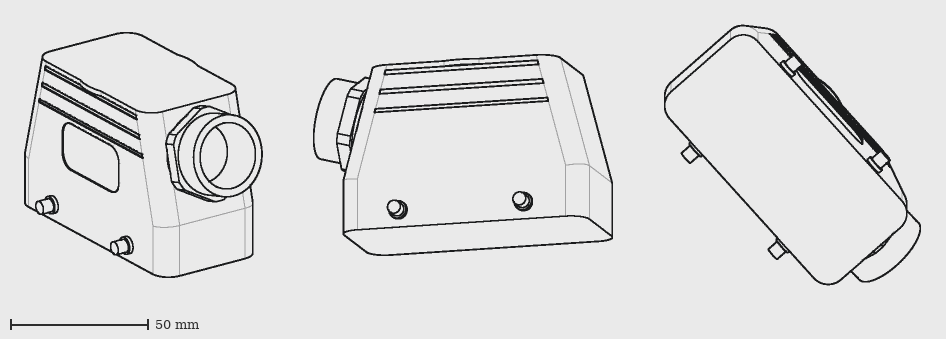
import cadquery as cq
import math

BODY_LENGTH = 93.1
BODY_WIDTH = 43.0
BODY_HEIGHT = 61.0
SKIRT_HEIGHT = 20.0
END_SLOPE = math.radians(15)
CORNER_RADIUS = 7.0

GROOVE_BANDS = [(43.5, 44.8), (50.3, 51.9), (57.4, 59.0)]
GROOVE_DEPTH = 0.5

SWELL_DIAMETER = 45.0
SWELL_HEIGHT = BODY_HEIGHT - GROOVE_BANDS[-1][1]

PANEL_LENGTH = 36.0
PANEL_HEIGHT = 18.2
PANEL_CENTER_Z = 32.6
PANEL_RADIUS = 5.3
PANEL_DEPTH = 0.5

PIN_SPACING = 47.6
PIN_Z = 6.3
PIN_DIAMETER = 4.9
PIN_SPAN = 55.0
PIN_COLLAR_DIAMETER = 6.5
PIN_COLLAR_SPAN = 46.0

FITTING_CENTER_X = 56.53
FITTING_CENTER_Z = 47.27
BARREL_DIAMETER = 30.0
BARREL_LENGTH = 10.1
HEX_ACROSS_FLATS = 32.0
HEX_CORNER_DIAMETER = 35.0
HEX_LENGTH = 5.1
COLLAR_DIAMETER = 31.0
BORE_MOUTH_DIAMETER = 24.24
BORE_INNER_DIAMETER = 21.8

FITTING_REACH = (
    (FITTING_CENTER_X - BODY_LENGTH / 2) * math.cos(END_SLOPE)
    + (FITTING_CENTER_Z - SKIRT_HEIGHT) * math.sin(END_SLOPE)
)
COLLAR_LENGTH = FITTING_REACH - BARREL_LENGTH - HEX_LENGTH


def end_inset(z):
    """Distance the end wall has moved inward at height z."""
    return max(0.0, z - SKIRT_HEIGHT) * math.tan(END_SLOPE)


def make_body():
    """Hood block with sloping ends and rounded end corners."""
    half_base = BODY_LENGTH / 2
    half_top = half_base - end_inset(BODY_HEIGHT)
    outline = [
        (-half_base, 0),
        (half_base, 0),
        (half_base, SKIRT_HEIGHT),
        (half_top, BODY_HEIGHT),
        (-half_top, BODY_HEIGHT),
        (-half_base, SKIRT_HEIGHT),
    ]
    body = cq.Workplane("XZ").polyline(outline).close().extrude(BODY_WIDTH / 2, both=True)
    end_edges = body.faces("<Y or >Y").edges("not #Z")
    return end_edges.fillet(CORNER_RADIUS)


def make_groove(bottom, top, side):
    """Groove between the rounded corners; side is -1 or +1 along Y."""
    half_flat = BODY_LENGTH / 2 - CORNER_RADIUS / math.cos(END_SLOPE)
    half_bottom = half_flat - end_inset(bottom)
    half_top = half_flat - end_inset(top)
    outline = [(-half_bottom, bottom), (half_bottom, bottom), (half_top, top), (-half_top, top)]
    strip = cq.Workplane("XZ").polyline(outline).close().extrude(GROOVE_DEPTH, both=True)
    return strip.translate((0, side * BODY_WIDTH / 2, 0))


def make_swell():
    """Disc whose rim shows just beyond both long sides."""
    swell = cq.Workplane("XY").workplane(offset=BODY_HEIGHT - SWELL_HEIGHT)
    return swell.circle(SWELL_DIAMETER / 2).extrude(SWELL_HEIGHT)


def make_panel_recess():
    """Shallow round-cornered pocket block."""
    panel = cq.Workplane("XY").box(PANEL_LENGTH, 2 * PANEL_DEPTH, PANEL_HEIGHT)
    panel = panel.edges("|Y").fillet(PANEL_RADIUS)
    return panel.translate((0, -BODY_WIDTH / 2, PANEL_CENTER_Z))


def make_cross_rod(x, diameter, span):
    """Round rod through the body along Y, centred on Y = 0."""
    return cq.Workplane("XZ").center(x, PIN_Z).circle(diameter / 2).extrude(span / 2, both=True)


def fitting_plane():
    """Plane at the fitting mouth, its normal pointing out along the fitting axis."""
    return cq.Plane(
        origin=(FITTING_CENTER_X, 0, FITTING_CENTER_Z),
        xDir=(0, 1, 0),
        normal=(math.cos(END_SLOPE), 0, math.sin(END_SLOPE)),
    )


def make_fitting():
    """Barrel, turned hexagon and collar, stacked inward from the mouth."""
    mouth = cq.Workplane(fitting_plane())
    barrel = mouth.circle(BARREL_DIAMETER / 2).extrude(-BARREL_LENGTH)
    hex_start = mouth.workplane(offset=-BARREL_LENGTH)
    hexagon = hex_start.polygon(6, HEX_ACROSS_FLATS, circumscribed=True).extrude(-HEX_LENGTH)
    turned = hex_start.circle(HEX_CORNER_DIAMETER / 2).extrude(-HEX_LENGTH)
    collar_start = mouth.workplane(offset=-BARREL_LENGTH - HEX_LENGTH)
    collar = collar_start.circle(COLLAR_DIAMETER / 2).extrude(-COLLAR_LENGTH)
    return barrel.union(hexagon.intersect(turned)).union(collar)


def make_bore():
    """Blind tapered bore, from the mouth down to the end wall."""
    mouth = cq.Workplane(fitting_plane()).circle(BORE_MOUTH_DIAMETER / 2)
    return mouth.workplane(offset=-FITTING_REACH).circle(BORE_INNER_DIAMETER / 2).loft(ruled=True)


result = make_body()
result = result.union(make_swell())

for groove_bottom, groove_top in GROOVE_BANDS:
    for y_side in (-1, 1):
        result = result.cut(make_groove(groove_bottom, groove_top, y_side))

result = result.cut(make_panel_recess())

for pin_x in (-PIN_SPACING / 2, PIN_SPACING / 2):
    result = result.union(make_cross_rod(pin_x, PIN_COLLAR_DIAMETER, PIN_COLLAR_SPAN))
    result = result.union(make_cross_rod(pin_x, PIN_DIAMETER, PIN_SPAN))

result = result.union(make_fitting()).cut(make_bore())